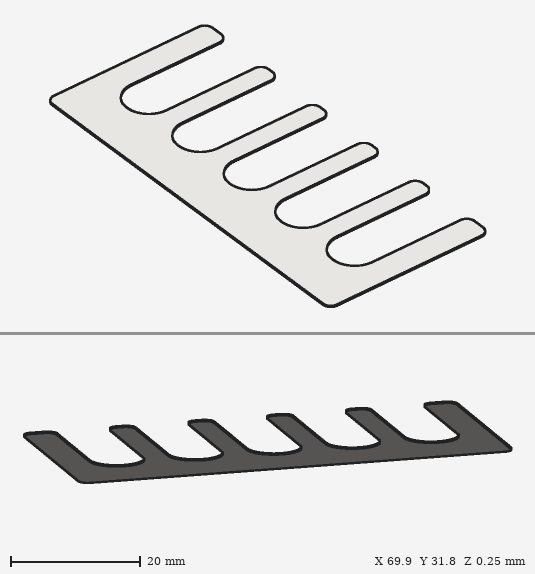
import cadquery as cq

length = 69.85
width = 31.75
thickness = 0.25
corner_radius = 1.524

slot_count = 5
slot_pitch = 12.7
slot_width = 8.636
slot_depth = 23.368

slot_radius = slot_width / 2
back_edge_y = width / 2
slot_arc_center_y = back_edge_y - slot_depth + slot_radius


def make_plate():
    """Plain rectangular plate centred on the origin."""
    return cq.Workplane("XY").box(length, width, thickness)


def make_slot(center_x):
    """Cutter for one slot: straight sides ending in a full half-round."""
    left_x = center_x - slot_radius
    right_x = center_x + slot_radius
    return (
        cq.Workplane("XY")
        .workplane(offset=-thickness / 2)
        .moveTo(left_x, back_edge_y)
        .lineTo(left_x, slot_arc_center_y)
        .threePointArc((center_x, back_edge_y - slot_depth), (right_x, slot_arc_center_y))
        .lineTo(right_x, back_edge_y)
        .close()
        .extrude(thickness)
    )


def cut_slots(plate):
    """Cut the evenly spaced row of slots, centred along the plate."""
    first_x = -slot_pitch * (slot_count - 1) / 2
    for index in range(slot_count):
        plate = plate.cut(make_slot(first_x + index * slot_pitch))
    return plate


def round_corners(plate):
    """Round the outer plate corners and both corners of every finger tip."""
    plate = plate.edges("|Z and <Y").fillet(corner_radius)
    return plate.edges("|Z and >Y").fillet(corner_radius)


result = round_corners(cut_slots(make_plate()))